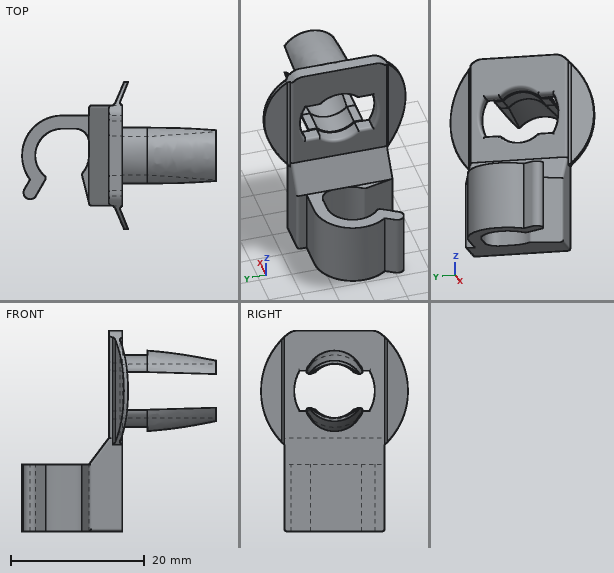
import cadquery as cq
import math

HEIGHT = 30.0
WIDTH = 15.0
PLATE_THICKNESS = 2.0
BLOCK_DEPTH = 5.0
BLOCK_HEIGHT = 10.02
SLOPE_TOP = 14.0
EDGE_FILLET = 0.45
CORNER_RADIUS = 2.0

HEAD_RADIUS = 22.0 / 2
HEAD_Z = 21.0
WING_TIP_BACK = 0.25
WING_TIP_FRONT = 0.87
WING_ROOT_BACK = -1.08
WING_ROOT_FRONT = -0.4
WING_ROOT_OFFSET = 0.35
WING_FLARE = 0.35

WINDOW_RADIUS = 4.2
WINDOW_HALF_HEIGHT = 3.0
WINDOW_END_RADIUS = 6.0
WINDOW_FILLET = 0.45

HOOK_OUTER_RADIUS = 6.0
HOOK_INNER_RADIUS = 4.0
HOOK_X = HOOK_OUTER_RADIUS - 15.0
HOOK_CORNER_RADIUS = 2.0
LIP_RADIUS = (HOOK_OUTER_RADIUS - HOOK_INNER_RADIUS) / 2
LIP_TIP = (-13.77, -5.52)
LIP_ANGLE = math.radians(60)
LIP_LENGTH = 2.85
LIP_INNER_CORNER = (-11.6, -3.3)
LIP_EDGE_FILLET = 0.45
BUMP_PEAK = (-6.18, -2.4)
BUMP_END_Y = -7.05
BUMP_FILLET = 0.45

NECK_RADIUS = 5.4
NECK_HALF_WIDTH = 4.2
NECK_UNDERSIDE = 2.82
NECK_EDGE_FILLET = 1.35
PRONG_INNER_RADIUS = 4.02
PRONG_START = 3.72
BARB_SECTIONS = [
    (PRONG_START, 4.2, 6.03, 2.85, 2.8),
    (8.85, 4.1, 5.45, 3.2, 2.67),
    (13.98, 3.8, 4.53, 3.6, 2.5),
]


def head_disc():
    disc = cq.Workplane("YZ").center(0, HEAD_Z).circle(HEAD_RADIUS)
    return disc.extrude(BLOCK_DEPTH, both=True)


def block_with_plate():
    profile = [
        (0, 0), (-BLOCK_DEPTH, 0), (-BLOCK_DEPTH, BLOCK_HEIGHT),
        (-PLATE_THICKNESS, SLOPE_TOP), (-PLATE_THICKNESS, HEIGHT), (0, HEIGHT),
    ]
    body = cq.Workplane("XZ").polyline(profile).close().extrude(WIDTH / 2, both=True)
    side_edges = body.faces("<Y or >Y").edges("not(>X or >Z)")
    body = side_edges.fillet(EDGE_FILLET)
    lower = cq.Workplane("XY").box(2 * BLOCK_DEPTH, WIDTH, HEAD_Z, centered=(True, True, False))
    crown = (
        cq.Workplane("XY", origin=(0, 0, HEAD_Z))
        .box(2 * BLOCK_DEPTH, 2 * HEAD_RADIUS, HEIGHT - HEAD_Z, centered=(True, True, False))
        .intersect(head_disc())
    )
    crown = crown.edges("|X").edges(">Z").fillet(CORNER_RADIUS)
    return body.intersect(lower.union(crown))


def wings():
    side = WIDTH / 2
    root = side + WING_ROOT_OFFSET
    inside = side - WING_FLARE
    outline = [
        (WING_ROOT_BACK - WING_FLARE, inside), (WING_ROOT_BACK - WING_FLARE, side),
        (WING_ROOT_BACK, root), (WING_TIP_BACK, HEAD_RADIUS), (WING_TIP_FRONT, HEAD_RADIUS),
        (WING_ROOT_FRONT, root), (0, side), (0, inside),
    ]
    half_length = math.sqrt(HEAD_RADIUS ** 2 - side ** 2)
    wing = (
        cq.Workplane("XY").workplane(offset=HEAD_Z - half_length)
        .polyline(outline).close().extrude(2 * half_length)
    )
    wing = wing.intersect(head_disc())
    return wing.union(wing.mirror("XZ"))


def flared_opening(opening):
    """The opening's solid with a rounded flare where it meets the hook side."""
    size = 2 * (WINDOW_END_RADIUS + 2 * WINDOW_FILLET)
    slab = cq.Workplane("YZ", origin=(-PLATE_THICKNESS, 0, HEAD_Z)).rect(size, size)
    slab = slab.extrude(PLATE_THICKNESS)
    framed = slab.cut(opening)
    rim = framed.faces("<X").val().innerWires()[0]
    framed = framed.newObject(rim.Edges()).fillet(WINDOW_FILLET)
    return slab.cut(framed)


def window():
    plane = cq.Workplane("YZ", origin=(-PLATE_THICKNESS, 0, HEAD_Z))
    ends = plane.circle(WINDOW_END_RADIUS).extrude(PLATE_THICKNESS)
    band = plane.rect(2 * WINDOW_END_RADIUS, 2 * WINDOW_HALF_HEIGHT).extrude(PLATE_THICKNESS)
    bore = plane.circle(WINDOW_RADIUS).extrude(PLATE_THICKNESS)
    return flared_opening(ends.intersect(band)).union(flared_opening(bore))


def hook():
    face_x = -BLOCK_DEPTH
    overlap_x = face_x + EDGE_FILLET
    outer = cq.Workplane("XY").center(HOOK_X, 0).circle(HOOK_OUTER_RADIUS).extrude(BLOCK_HEIGHT)
    arm = (
        cq.Workplane("XY").moveTo(HOOK_X, 0).lineTo(overlap_x, 0)
        .lineTo(overlap_x, HOOK_OUTER_RADIUS).lineTo(HOOK_X, HOOK_OUTER_RADIUS)
        .close().extrude(BLOCK_HEIGHT)
    )
    lip_root = (
        LIP_TIP[0] + LIP_LENGTH * math.cos(LIP_ANGLE),
        LIP_TIP[1] + LIP_LENGTH * math.sin(LIP_ANGLE),
    )
    mouth = (
        cq.Workplane("XY").moveTo(HOOK_X, 0).lineTo(*lip_root)
        .lineTo(*LIP_TIP).lineTo(LIP_TIP[0], -2 * HOOK_OUTER_RADIUS)
        .lineTo(0, -2 * HOOK_OUTER_RADIUS).lineTo(0, 0).close().extrude(BLOCK_HEIGHT)
    )
    lip_middle = ((LIP_TIP[0] + lip_root[0]) / 2, (LIP_TIP[1] + lip_root[1]) / 2)
    lip = (
        cq.Workplane("XY").center(*lip_middle)
        .slot2D(LIP_LENGTH + 2 * LIP_RADIUS, 2 * LIP_RADIUS, math.degrees(LIP_ANGLE))
        .extrude(BLOCK_HEIGHT)
    )
    bump = (
        cq.Workplane("XY").moveTo(overlap_x, 0).lineTo(face_x, 0).lineTo(BUMP_PEAK[0], 0)
        .lineTo(*BUMP_PEAK).lineTo(face_x, BUMP_END_Y).lineTo(overlap_x, BUMP_END_Y)
        .close().extrude(BLOCK_HEIGHT)
    )
    bore = cq.Workplane("XY").center(HOOK_X, 0).circle(HOOK_INNER_RADIUS).extrude(BLOCK_HEIGHT)
    shoulder_y = HOOK_INNER_RADIUS - HOOK_CORNER_RADIUS
    shoulder = (
        cq.Workplane("XY").moveTo(HOOK_X, 0).lineTo(face_x, 0).lineTo(face_x, shoulder_y)
        .radiusArc((face_x - HOOK_CORNER_RADIUS, HOOK_INNER_RADIUS), -HOOK_CORNER_RADIUS)
        .lineTo(HOOK_X, HOOK_INNER_RADIUS).close().extrude(BLOCK_HEIGHT)
    )
    ring = outer.union(arm).cut(mouth).union(lip).cut(bore).cut(shoulder)
    lip_corner = cq.selectors.NearestToPointSelector((*LIP_INNER_CORNER, BLOCK_HEIGHT / 2))
    ring = ring.edges("|Z").edges(lip_corner).fillet(LIP_EDGE_FILLET)
    bump = bump.cut(bore)
    bump = bump.edges("|Z").edges("<X").fillet(BUMP_FILLET)
    return ring.union(bump)


def barb_section(x, half_width, crown, inner_half_width, underside):
    """Crescent with flat undersides, standing across X at the given place."""
    return (
        cq.Workplane("YZ", origin=(x, 0, HEAD_Z)).moveTo(-half_width, underside)
        .threePointArc((0, crown), (half_width, underside)).lineTo(inner_half_width, underside)
        .threePointArc((0, PRONG_INNER_RADIUS), (-inner_half_width, underside)).close()
        .wires().val()
    )


def prong():
    neck_side = math.sqrt(NECK_RADIUS ** 2 - NECK_HALF_WIDTH ** 2)
    inner_half = math.sqrt(PRONG_INNER_RADIUS ** 2 - NECK_UNDERSIDE ** 2)
    neck = (
        cq.Workplane("YZ", origin=(0, 0, HEAD_Z))
        .moveTo(-NECK_HALF_WIDTH, NECK_UNDERSIDE).lineTo(-NECK_HALF_WIDTH, neck_side)
        .threePointArc((0, NECK_RADIUS), (NECK_HALF_WIDTH, neck_side))
        .lineTo(NECK_HALF_WIDTH, NECK_UNDERSIDE).lineTo(inner_half, NECK_UNDERSIDE)
        .threePointArc((0, PRONG_INNER_RADIUS), (-inner_half, NECK_UNDERSIDE)).close()
        .extrude(PRONG_START)
    )
    for side in (-1, 1):
        shoulder_point = (PRONG_START / 2, side * NECK_HALF_WIDTH, HEAD_Z + neck_side)
        shoulder = cq.selectors.NearestToPointSelector(shoulder_point)
        neck = neck.edges("|X").edges(shoulder).fillet(NECK_EDGE_FILLET)
    sections = [barb_section(*sizes) for sizes in BARB_SECTIONS]
    barb = cq.Workplane(cq.Solid.makeLoft(sections))
    return neck.union(barb)


body = block_with_plate().union(wings()).cut(window())
upper_prong = prong()
lower_prong = upper_prong.rotate((0, 0, HEAD_Z), (1, 0, HEAD_Z), 180)
result = body.union(hook()).union(upper_prong).union(lower_prong)